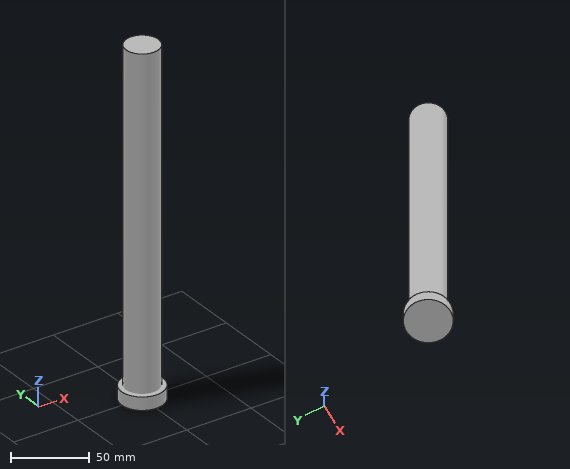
import cadquery as cq

total_length = 260.0
head_diameter = 32.0
head_height = 10.0
shank_diameter = 25.0
neck_fillet_radius = 0.2


def make_head():
    """Flat disc at the bottom of the pin."""
    return cq.Workplane("XY").circle(head_diameter / 2).extrude(head_height)


def add_shank(head):
    """Cylindrical shank rising from the top of the head."""
    shank_length = total_length - head_height
    return head.faces(">Z").workplane().circle(shank_diameter / 2).extrude(shank_length)


def round_neck(pin):
    """Small fillet in the corner where the shank meets the head."""
    smallest_circle = cq.selectors.RadiusNthSelector(0)
    head_top = pin.faces("+Z").faces("<Z")
    return head_top.edges(smallest_circle).fillet(neck_fillet_radius)


result = round_neck(add_shank(make_head()))